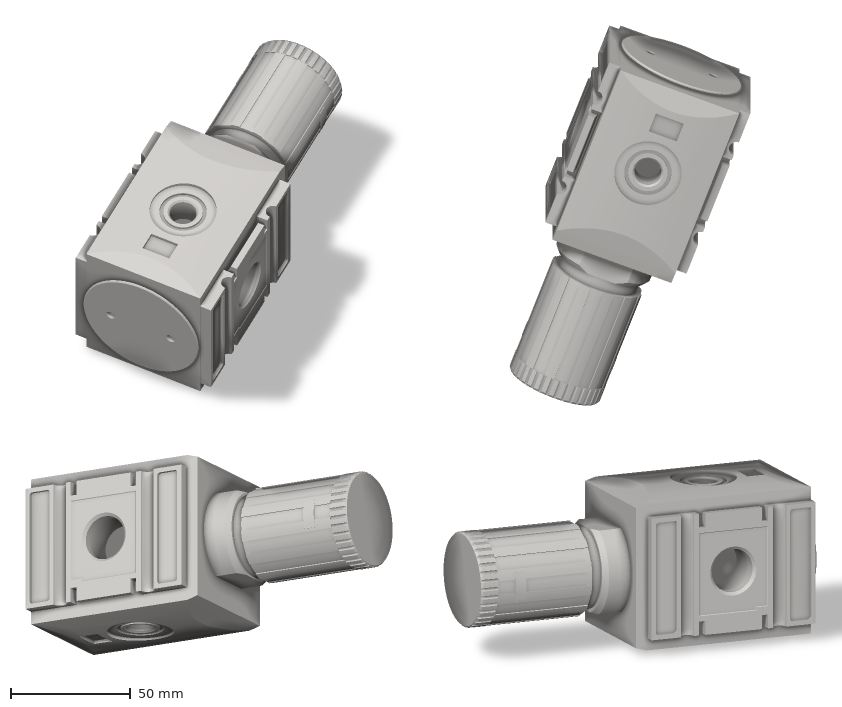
import cadquery as cq
import math


BLOCK_WIDTH = 53.1
FRONT_Y = -37.5
JOINT_Y = 37.5
BACK_Y = 42.3
EDGE_HEIGHT = 31.5
CREST_HEIGHT = 33.6
BACK_HEIGHT = 30.2
SLOPE_START = 28.8

FLANK_X = 31.5
FLANK_SETBACK = 0.08
FLANK_HALF_HEIGHT = 26.1
GROOVE_RADIUS = 3.0
GROOVE_Y = 21.0
CLIP_FLOOR_Z = 20.1
CLIP_HALF_LENGTH = 15.8
LIP_HALF_LENGTH = 12.9
LIP_TOP_X = 28.6
LIP_BOTTOM_X = 27.2
POCKET_LENGTH = 9.6
POCKET_HEIGHT = 48.3
POCKET_Y = 30.6
POCKET_DEPTH = 1.5
POCKET_CORNER = 1.2
SEAT_HALF_LENGTH = 15.6
SEAT_HALF_HEIGHT = 17.8
SEAT_DEPTH = 0.3
SEAT_WALL_ANGLE = 45.0
KEY_Y = -10.5
KEY_Z = -16.5

SIDE_PORT_DIAMETER = 18.6
SIDE_PORT_MOUTH = 21.0
SIDE_PORT_DEPTH = 18.0

SPOT_DIAMETER = 28.0
SPOT_Z = 32.1
SEAL_GROOVE_OUTER = 19.8
SEAL_GROOVE_INNER = 16.5
SEAL_GROOVE_DEPTH = 1.0
GAUGE_BORE = 11.4
GAUGE_MOUTH = 12.9
GAUGE_DEPTH = 12.0

LABEL_WIDTH = 12.5
LABEL_LENGTH = 8.4
LABEL_Y = -21.5
LABEL_Z = 32.1

PLUG_NECK_DIAMETER = 43.8
PLUG_DIAMETER = 53.5
PLUG_BACK_Y = -39.2
PLUG_FRONT_Y = -40.0
PLUG_CHAMFER = 0.5
SPANNER_HOLE = 3.2
SPANNER_MOUTH = 4.0
SPANNER_OFFSET = 14.0
SPANNER_DEPTH = 3.0

BONNET_DIAMETER = 42.0
BONNET_FLATS = 36.0
BONNET_END_Y = 54.5
BONNET_CHAMFER_LENGTH = 2.2
BONNET_CHAMFER_DEPTH = 2.0
NECK_DIAMETER = 35.0

KNOB_START_Y = 59.4
KNURL_START_Y = 102.2
KNOB_END_Y = 110.0
GRIP_RADIUS = 19.6
STRIP_RADIUS = 20.1
STRIP_COUNT = 12
STRIP_ANGLE = 13.0
KNURL_RADIUS = 20.2
KNURL_CHAMFER_LENGTH = 0.9
KNURL_CHAMFER_DEPTH = 0.8
KNURL_GROOVE_COUNT = 36
KNURL_GROOVE_RADIUS = 0.8
MARK_START_Y = 89.4
MARK_END_Y = 94.5
MARK_RADIUS = 20.2
MARK_WIDTH = 12.3


def box(x_range, y_range, z_range):
    """Axis-aligned box between the given limits."""
    size = [high - low for low, high in (x_range, y_range, z_range)]
    corner = (x_range[0], y_range[0], z_range[0])
    return cq.Workplane("XY").box(*size, centered=False).translate(corner)


def rod(radius, start_y, end_y):
    """Cylinder on the knob axis."""
    return cq.Workplane("XZ", origin=(0, start_y, 0)).circle(radius).extrude(start_y - end_y)


def turned(axis_points, axis):
    """Solid of revolution about "X", "Y" or "Z" from (radius, place along the axis) points."""
    profile = cq.Workplane("XZ").polyline(axis_points).close().revolve(360, (0, 0), (0, 1))
    if axis == "X":
        return profile.rotate((0, 0, 0), (0, 1, 0), 90)
    if axis == "Y":
        return profile.rotate((0, 0, 0), (1, 0, 0), -90)
    return profile


def chamfered_rod(radius, start_y, end_y, chamfer_length, chamfer_depth):
    """Cylinder on the knob axis with a chamfer around its +Y end."""
    points = [
        (0, start_y),
        (radius, start_y),
        (radius, end_y - chamfer_length),
        (radius - chamfer_depth, end_y),
        (0, end_y),
    ]
    return turned(points, "Y")


def sector(radius, angle, start_y, end_y):
    """Sector of a cylinder on the knob axis, centred on +X."""
    half = math.radians(angle / 2)
    end_x = radius * math.cos(half)
    end_z = radius * math.sin(half)
    outline = (
        cq.Workplane("XZ", origin=(0, start_y, 0))
        .lineTo(end_x, -end_z)
        .threePointArc((radius, 0), (end_x, end_z))
        .close()
    )
    return outline.extrude(start_y - end_y)


def about_knob_axis(shape, angle):
    return shape.rotate((0, 0, 0), (0, 1, 0), angle)


def both_sides(shape, plane):
    """The shape together with its mirror image."""
    return shape.union(shape.mirror(plane))


def block(start_y, end_y):
    """Stretch of the crowned block, whose top and bottom slope down at both ends."""
    half = BLOCK_WIDTH / 2
    crowned = (
        cq.Workplane("XZ", origin=(0, FRONT_Y, 0))
        .moveTo(-half, -EDGE_HEIGHT)
        .threePointArc((0, -CREST_HEIGHT), (half, -EDGE_HEIGHT))
        .lineTo(half, EDGE_HEIGHT)
        .threePointArc((0, CREST_HEIGHT), (-half, EDGE_HEIGHT))
        .close()
        .extrude(FRONT_Y - BACK_Y)
    )
    upper = [
        (FRONT_Y, EDGE_HEIGHT),
        (-SLOPE_START, CREST_HEIGHT),
        (SLOPE_START, CREST_HEIGHT),
        (JOINT_Y, EDGE_HEIGHT),
        (BACK_Y, BACK_HEIGHT),
    ]
    lower = [(y, -z) for y, z in reversed(upper)]
    side_outline = cq.Workplane("YZ").polyline(upper + lower).close().extrude(half, both=True)
    stretch = box((-half, half), (start_y, end_y), (-CREST_HEIGHT, CREST_HEIGHT))
    return crowned.intersect(side_outline).intersect(stretch)


def clip_cut():
    """Cut in the top edge of the +X flank, leaving a lip with a sloped inner face."""
    cut = box(
        (BLOCK_WIDTH / 2, FLANK_X),
        (-CLIP_HALF_LENGTH, CLIP_HALF_LENGTH),
        (CLIP_FLOOR_Z, FLANK_HALF_HEIGHT),
    )
    lip_points = [
        (FLANK_X, CLIP_FLOOR_Z),
        (FLANK_X, FLANK_HALF_HEIGHT),
        (LIP_TOP_X, FLANK_HALF_HEIGHT),
        (LIP_BOTTOM_X, CLIP_FLOOR_Z),
    ]
    lip = cq.Workplane("XZ").polyline(lip_points).close().extrude(LIP_HALF_LENGTH, both=True)
    return cut.cut(lip)


def port_seat():
    """Shallow seat around the side port, with sloped walls and one keyed corner."""
    points = [
        (SEAT_HALF_LENGTH, SEAT_HALF_HEIGHT),
        (-SEAT_HALF_LENGTH, SEAT_HALF_HEIGHT),
        (-SEAT_HALF_LENGTH, KEY_Z),
        (KEY_Y, KEY_Z),
        (KEY_Y, -SEAT_HALF_HEIGHT),
        (SEAT_HALF_LENGTH, -SEAT_HALF_HEIGHT),
    ]
    seat = cq.Workplane("YZ", origin=(FLANK_X, 0, 0)).polyline(points).close()
    return seat.extrude(-SEAT_DEPTH, taper=SEAT_WALL_ANGLE)


def flank():
    """Flank on the +X side with its grooves, pockets, clip cuts and port seat."""
    plate = box(
        (BLOCK_WIDTH / 2, FLANK_X),
        (FRONT_Y + FLANK_SETBACK, JOINT_Y - FLANK_SETBACK),
        (-FLANK_HALF_HEIGHT, FLANK_HALF_HEIGHT),
    )
    grooves = (
        cq.Workplane("XY")
        .pushPoints([(FLANK_X, -GROOVE_Y), (FLANK_X, GROOVE_Y)])
        .circle(GROOVE_RADIUS)
        .extrude(FLANK_HALF_HEIGHT, both=True)
    )
    pockets = (
        cq.Workplane("YZ", origin=(FLANK_X, 0, 0))
        .pushPoints([(-POCKET_Y, 0), (POCKET_Y, 0)])
        .rect(POCKET_LENGTH, POCKET_HEIGHT)
        .extrude(-POCKET_DEPTH)
        .edges("|X")
        .fillet(POCKET_CORNER)
    )
    return plate.cut(grooves).cut(pockets).cut(both_sides(clip_cut(), "XY")).cut(port_seat())


def side_port():
    """Blind bore in the +X flank with a chamfered mouth."""
    radius = SIDE_PORT_DIAMETER / 2
    mouth = SIDE_PORT_MOUTH / 2
    seat_x = FLANK_X - SEAT_DEPTH
    floor_x = seat_x - SIDE_PORT_DEPTH
    points = [
        (0, floor_x),
        (radius, floor_x),
        (radius, seat_x - (mouth - radius)),
        (mouth, seat_x),
        (0, seat_x),
    ]
    return turned(points, "X")


def gauge_port():
    """Spot-faced blind bore in the top, with a seal groove around its chamfered mouth."""
    bore = GAUGE_BORE / 2
    mouth = GAUGE_MOUTH / 2
    groove_floor_z = SPOT_Z - SEAL_GROOVE_DEPTH
    points = [
        (0, SPOT_Z - GAUGE_DEPTH),
        (bore, SPOT_Z - GAUGE_DEPTH),
        (bore, SPOT_Z - (mouth - bore)),
        (mouth, SPOT_Z),
        (SEAL_GROOVE_INNER / 2, SPOT_Z),
        (SEAL_GROOVE_INNER / 2, groove_floor_z),
        (SEAL_GROOVE_OUTER / 2, groove_floor_z),
        (SEAL_GROOVE_OUTER / 2, SPOT_Z),
        (SPOT_DIAMETER / 2, SPOT_Z),
        (SPOT_DIAMETER / 2, CREST_HEIGHT),
        (0, CREST_HEIGHT),
    ]
    return turned(points, "Z")


def label_recess():
    return box(
        (-LABEL_WIDTH / 2, LABEL_WIDTH / 2),
        (LABEL_Y - LABEL_LENGTH / 2, LABEL_Y + LABEL_LENGTH / 2),
        (LABEL_Z, CREST_HEIGHT),
    )


def plug():
    """Front disc on a narrower neck, with two spanner holes."""
    neck = rod(PLUG_NECK_DIAMETER / 2, PLUG_BACK_Y, FRONT_Y)
    disc = rod(PLUG_DIAMETER / 2, PLUG_FRONT_Y, PLUG_BACK_Y).faces("<Y").chamfer(PLUG_CHAMFER)
    hole_radius = SPANNER_HOLE / 2
    mouth_radius = SPANNER_MOUTH / 2
    hole_points = [
        (0, PLUG_FRONT_Y),
        (mouth_radius, PLUG_FRONT_Y),
        (hole_radius, PLUG_FRONT_Y + mouth_radius - hole_radius),
        (hole_radius, PLUG_FRONT_Y + SPANNER_DEPTH),
        (0, PLUG_FRONT_Y + SPANNER_DEPTH),
    ]
    hole = turned(hole_points, "Y").translate((SPANNER_OFFSET, 0, 0))
    return neck.union(disc), both_sides(hole, "YZ")


def make_housing():
    plug_body, spanner_holes = plug()
    body = block(FRONT_Y, JOINT_Y).union(both_sides(flank(), "YZ")).union(plug_body)
    body = body.cut(both_sides(side_port(), "YZ"))
    body = body.cut(both_sides(gauge_port(), "XY"))
    body = body.cut(both_sides(label_recess(), "XY"))
    return body.cut(spanner_holes)


def bonnet():
    """Round bonnet with two flats and a chamfered end."""
    radius = BONNET_DIAMETER / 2
    dome = chamfered_rod(radius, BACK_Y, BONNET_END_Y, BONNET_CHAMFER_LENGTH, BONNET_CHAMFER_DEPTH)
    flats = box(
        (-radius, radius),
        (BACK_Y, BONNET_END_Y),
        (-BONNET_FLATS / 2, BONNET_FLATS / 2),
    )
    return dome.intersect(flats)


def grip():
    """Knob grip with raised strips, the first one half a pitch away from +X."""
    body = rod(GRIP_RADIUS, KNOB_START_Y, KNURL_START_Y)
    strip = sector(STRIP_RADIUS, STRIP_ANGLE, KNOB_START_Y, KNURL_START_Y)
    pitch = 360 / STRIP_COUNT
    for index in range(STRIP_COUNT):
        body = body.union(about_knob_axis(strip, (index + 0.5) * pitch))
    return body


def knurl():
    """Ring at the end of the knob with round grooves along its rim."""
    ring = chamfered_rod(
        KNURL_RADIUS, KNURL_START_Y, KNOB_END_Y, KNURL_CHAMFER_LENGTH, KNURL_CHAMFER_DEPTH
    )
    grooves = (
        cq.Workplane("XZ", origin=(0, KNURL_START_Y, 0))
        .polarArray(KNURL_RADIUS, 0, 360, KNURL_GROOVE_COUNT)
        .circle(KNURL_GROOVE_RADIUS)
        .extrude(KNURL_START_Y - KNOB_END_Y)
    )
    return ring.cut(grooves)


def marks():
    """Raised pads on the two X sides of the grip."""
    limits = box(
        (0, MARK_RADIUS),
        (MARK_START_Y, MARK_END_Y),
        (-MARK_WIDTH / 2, MARK_WIDTH / 2),
    )
    return rod(MARK_RADIUS, MARK_START_Y, MARK_END_Y).intersect(both_sides(limits, "YZ"))


def make_control_head():
    neck = rod(NECK_DIAMETER / 2, BONNET_END_Y, KNOB_START_Y)
    body = block(JOINT_Y, BACK_Y).union(bonnet()).union(neck)
    return body.union(grip()).union(knurl()).union(marks())


housing = make_housing()
control_head = make_control_head()

result = cq.Compound.makeCompound([housing.val(), control_head.val()])